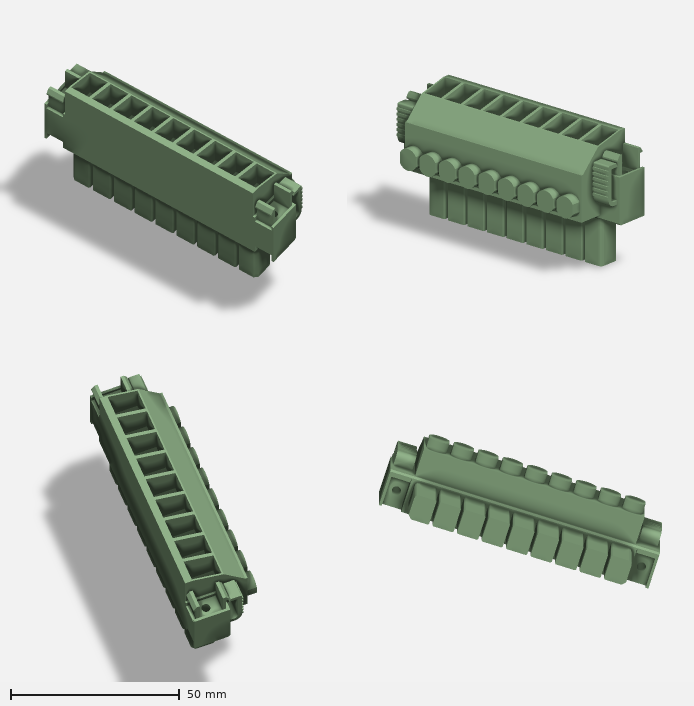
import cadquery as cq
import math

total_length = 83.8
pole_count = 9
pole_pitch = 7.6
pole_centers = [(i - (pole_count - 1) / 2) * pole_pitch for i in range(pole_count)]

housing_length = pole_count * pole_pitch
housing_top = 41.15
front_rim_depth = 2.4
ridge_y = 12.3
ridge_z = 38.8
shoulder_y = 19.2
back_y = 19.95
shoulder_z = ridge_z - (shoulder_y - ridge_y)
back_bottom = 16.9
base_z = 15.3
base_depth = 11.4
base_chamfer = 0.6

cavity_width = 6.5
cavity_front = 2.35
cavity_back = 11.8
shaft_bottom = 30.2
funnel_inset = 1.7
funnel_slope = 60.0
funnel_depth = funnel_inset * math.tan(math.radians(funnel_slope))

boss_diameter = 6.95
boss_width = 6.2
boss_z = 21.8
boss_end_y = 23.1

finger_width = 6.6
finger_front = 2.5
finger_back = 10.2
finger_chamfer = 0.3
outer_front_chamfer = 1.1
outer_back_bevel = 1.2
outer_back_bevel_facets = 3

block_length = (total_length - housing_length) / 2
block_top = 30.7
wall = 1.0
side_wall = 0.8
pocket_length = 6.0
pocket_back = base_depth - wall
top_notch_depth = 1.7
bottom_notch_height = 2.6
pocket_outer_x = total_length / 2 - side_wall

latch_length = 5.9
latch_center_x = pocket_outer_x - latch_length / 2
arm_thickness = 1.0
latch_floor = 29.7
latch_bottom = base_z + bottom_notch_height
root_fillet = 0.25
latch_hole_diameter = 2.7
latch_hole_y = 5.1

hook_top = 37.1
hook_nose_top = 35.8
hook_bottom = 35.3

lever_top = 35.1
lever_bottom = 22.0
lever_thickness = 1.25
lever_outer_y = 15.4
lever_tip_chamfer_y = 0.5
lever_tip_chamfer_z = 0.9
lever_top_fillet = 0.5
lever_inner_radius = 1.1
lever_outer_radius = lever_inner_radius + lever_thickness

tooth_count = 6
tooth_depth = 0.5
teeth_bottom = 24.65
teeth_top = 33.7


def box(x_range, y_range, z_range):
    """Box spanning the given (low, high) range on each axis."""
    spans = (x_range, y_range, z_range)
    size = [high - low for low, high in spans]
    corner = cq.Vector(*[low for low, high in spans])
    return cq.Workplane("XY").box(*size, centered=False).translate(corner)


def extrude_along_x(outline, length, center_x):
    """Closed (Y, Z) outline extruded along X, centred on center_x."""
    start = center_x - length / 2
    return cq.Workplane("YZ", origin=(start, 0, 0)).polyline(outline).close().extrude(length)


def make_shell():
    """Middle section that carries all the poles."""
    outline = [
        (0, base_z),
        (0, housing_top),
        (front_rim_depth, housing_top),
        (ridge_y, ridge_z),
        (shoulder_y, shoulder_z),
        (back_y, shoulder_z),
        (back_y, back_bottom),
        (base_depth, back_bottom),
        (base_depth, base_z + base_chamfer),
        (base_depth - base_chamfer, base_z),
    ]
    return extrude_along_x(outline, housing_length, 0)


def make_cavity(x):
    """Wire entry: rectangular shaft with a funnel at its bottom."""
    depth_y = cavity_back - cavity_front
    top_plane = cq.Workplane("XY", origin=(x, (cavity_front + cavity_back) / 2, shaft_bottom))
    shaft = top_plane.rect(cavity_width, depth_y).extrude(housing_top - shaft_bottom)
    funnel = (
        top_plane.rect(cavity_width, depth_y)
        .workplane(offset=-funnel_depth)
        .rect(cavity_width - 2 * funnel_inset, depth_y - 2 * funnel_inset)
        .loft(ruled=True)
    )
    return shaft.union(funnel)


def make_boss(x):
    """Round screw boss with flat left and right sides."""
    length = boss_end_y - back_y
    boss = (
        cq.Workplane("XZ", origin=(x, boss_end_y, boss_z))
        .circle(boss_diameter / 2)
        .extrude(length)
    )
    half_width = boss_width / 2
    half_height = boss_diameter / 2
    sides = box(
        (x - half_width, x + half_width),
        (back_y, boss_end_y),
        (boss_z - half_height, boss_z + half_height),
    )
    return boss.intersect(sides)


def make_finger(x):
    """Plug finger with its four upright edges lightly chamfered."""
    finger = box(
        (x - finger_width / 2, x + finger_width / 2),
        (finger_front, finger_back),
        (0, base_z),
    )
    return finger.edges("|Z").chamfer(finger_chamfer)


def make_outer_finger():
    """Last finger at +X: wide front chamfer and faceted back bevel on its outer side."""
    inner_x = pole_centers[-1] - finger_width / 2
    outer_x = inner_x + finger_width
    outline = [
        (inner_x, finger_back - finger_chamfer),
        (inner_x, finger_front + finger_chamfer),
        (inner_x + finger_chamfer, finger_front),
        (outer_x - outer_front_chamfer, finger_front),
        (outer_x, finger_front + outer_front_chamfer),
    ]
    for i in range(outer_back_bevel_facets + 1):
        angle = math.radians(90 * i / outer_back_bevel_facets)
        bevel_x = outer_x - outer_back_bevel * (1 - math.cos(angle))
        bevel_y = finger_back - outer_back_bevel * (1 - math.sin(angle))
        outline.append((bevel_x, bevel_y))
    outline.append((inner_x + finger_chamfer, finger_back))
    return cq.Workplane("XY").polyline(outline).close().extrude(base_z)


def make_end_block():
    """End block at +X, with the latch pocket, its front notches and the lever slot."""
    outline = [
        (0, base_z),
        (0, block_top),
        (base_depth, block_top),
        (base_depth, base_z + base_chamfer),
        (base_depth - base_chamfer, base_z),
    ]
    block = extrude_along_x(outline, block_length, (total_length - block_length) / 2)
    pocket_x = (pocket_outer_x - pocket_length, pocket_outer_x)
    pocket = box(pocket_x, (wall, pocket_back), (base_z, block_top))
    top_notch = box(pocket_x, (0, wall), (block_top - top_notch_depth, block_top))
    bottom_notch = box(pocket_x, (0, wall), (base_z, base_z + bottom_notch_height))
    lever_slot = box(
        (pocket_outer_x - latch_length, pocket_outer_x),
        (pocket_back, base_depth),
        (lever_bottom, lever_bottom + lever_thickness),
    )
    return block.cut(pocket).cut(top_notch).cut(bottom_notch).cut(lever_slot)


def make_housing():
    housing = make_shell()
    for x in pole_centers:
        housing = housing.cut(make_cavity(x)).union(make_boss(x))
    for x in pole_centers[1:-1]:
        housing = housing.union(make_finger(x))
    for end_part in (make_outer_finger(), make_end_block()):
        housing = housing.union(end_part).union(end_part.mirror("YZ"))
    return housing


def make_hook_nose():
    """Nose at the tip of the front arm, pointing to -Y."""
    outline = [
        (wall, hook_bottom),
        (0, hook_bottom),
        (0, hook_nose_top),
        (wall, hook_top),
    ]
    return extrude_along_x(outline, latch_length, latch_center_x)


def make_latch_body():
    """Base block in the pocket with two upright hooked arms and a rear leg."""
    front_arm_inner = wall + arm_thickness
    back_arm_inner = pocket_back - arm_thickness
    outline = [
        (wall, latch_bottom),
        (wall, hook_top),
        (front_arm_inner, hook_top),
        (front_arm_inner, latch_floor),
        (back_arm_inner, latch_floor),
        (back_arm_inner, hook_top),
        (pocket_back, hook_top),
        (pocket_back, base_z),
        (back_arm_inner, base_z),
        (back_arm_inner, latch_bottom),
    ]
    body = extrude_along_x(outline, latch_length, latch_center_x)
    for y in (front_arm_inner, back_arm_inner):
        root_edge = cq.selectors.NearestToPointSelector((latch_center_x, y, latch_floor))
        body = body.edges(root_edge).fillet(root_fillet)
    front_nose = make_hook_nose()
    back_nose = front_nose.mirror("XZ", (0, base_depth / 2, 0))
    hole = (
        cq.Workplane("XY", origin=(latch_center_x, latch_hole_y, latch_bottom))
        .circle(latch_hole_diameter / 2)
        .extrude(latch_floor - latch_bottom)
    )
    return body.union(front_nose).union(back_nose).cut(hole)


def make_lever():
    """C-shaped release lever behind the latch, with grip teeth on its back."""
    inner_y = lever_outer_y - lever_thickness
    inner_top = lever_top - lever_thickness
    inner_bottom = lever_bottom + lever_thickness
    start = latch_center_x - latch_length / 2
    lever = (
        cq.Workplane("YZ", origin=(start, 0, 0))
        .moveTo(pocket_back, lever_bottom)
        .lineTo(lever_outer_y - lever_outer_radius, lever_bottom)
        .radiusArc((lever_outer_y, lever_bottom + lever_outer_radius), -lever_outer_radius)
        .lineTo(lever_outer_y, lever_top - lever_top_fillet)
        .radiusArc((lever_outer_y - lever_top_fillet, lever_top), -lever_top_fillet)
        .lineTo(base_depth + lever_tip_chamfer_y, lever_top)
        .lineTo(base_depth, lever_top - lever_tip_chamfer_z)
        .lineTo(base_depth, inner_top)
        .lineTo(inner_y, inner_top)
        .lineTo(inner_y, inner_bottom + lever_inner_radius)
        .radiusArc((inner_y - lever_inner_radius, inner_bottom), lever_inner_radius)
        .lineTo(pocket_back, inner_bottom)
        .close()
        .extrude(latch_length)
    )
    tooth_height = (teeth_top - teeth_bottom) / (2 * tooth_count - 1)
    for i in range(tooth_count):
        tooth_z = teeth_bottom + 2 * i * tooth_height
        tooth = box(
            (start, start + latch_length),
            (inner_y, lever_outer_y + tooth_depth),
            (tooth_z, tooth_z + tooth_height),
        )
        lever = lever.union(tooth)
    return lever


def make_latch(side):
    """Latch for the +X end (side = 1) or the -X end (side = -1)."""
    latch = make_latch_body().union(make_lever())
    return latch if side > 0 else latch.mirror("YZ")


housing = make_housing()
latches = [make_latch(side) for side in (-1, 1)]

bodies = [housing, *latches]
result = cq.Compound.makeCompound([body.solids().val() for body in bodies])